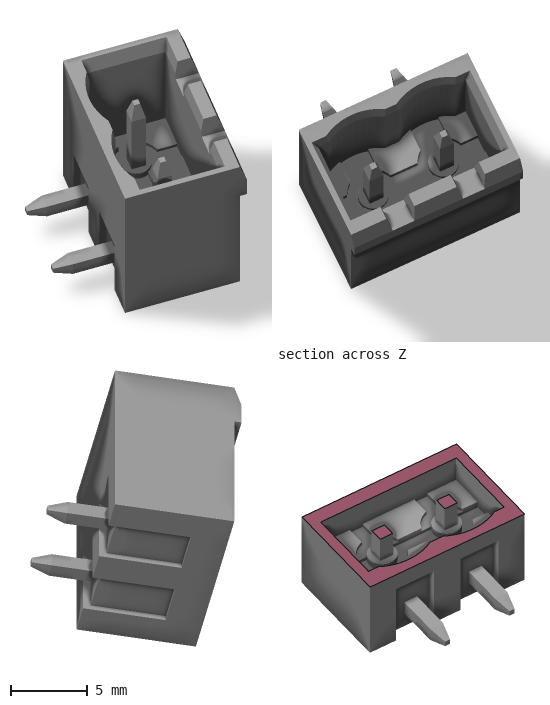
import cadquery as cq

width = 12.17
height = 11.93
body_depth = 7.92
contact_pitch = 5.07
contact_xs = (-contact_pitch / 2, contact_pitch / 2)

lip_reach = 0.49
lip_slope_height = 1.5
lip_height = 3.02

cavity_width = 10.63
cavity_front = 1.32
cavity_back = 6.81
cavity_floor = 4.0
mouth_width = 11.41
mouth_front = 1.15
mouth_back = 7.02
flare_depth = 1.0
flare_start = height - flare_depth

scallop_center_y = 4.77
scallop_radius = 4.0
scallop_mouth_radius = 4.2

notch_top_width = 2.02
notch_floor_width = 1.54
notch_depth = lip_slope_height

rear_recess_depth = 0.25
front_recess_depth = 2 * rear_recess_depth
ring_radius = 1.7
rear_slot_width = 1.0
front_slot_width = 2.01
band_front = 3.15
band_back = 4.33
boss_diameter = 2.01

window_width = 2.97
window_height = 4.66
window_depth = 0.5
window_ceiling_drop = 0.29
channel_height = 0.37
channel_end = 5.49

pin_size = 1.0
pin_tip_size = 0.4
pin_taper = 1.27
pin_y = 3.82
pin_z = 2.02
pin_top = 10.22
pin_reach = 3.78


def box(x_size, y_range, z_range, x_center=0):
    """Axis-aligned block centred on x_center."""
    y_size = y_range[1] - y_range[0]
    z_size = z_range[1] - z_range[0]
    block = cq.Workplane("XY").box(x_size, y_size, z_size, centered=(True, False, False))
    return block.translate((x_center, y_range[0], z_range[0]))


def upright_cylinder(x, y, radius, z_range):
    disc = cq.Workplane("XY", origin=(x, y, z_range[0])).circle(radius)
    return disc.extrude(z_range[1] - z_range[0])


def side_profile_block(points, x_size, x_center=0):
    """Prism along X with the given (y, z) outline."""
    prism = cq.Workplane("YZ").polyline(points).close().extrude(x_size / 2, both=True)
    return prism.translate((x_center, 0, 0))


def housing():
    lip_back = body_depth + lip_reach
    outline = [
        (0, 0),
        (body_depth, 0),
        (body_depth, height - lip_height),
        (lip_back, height - lip_height),
        (lip_back, height - lip_slope_height),
        (body_depth, height),
        (0, height),
    ]
    return side_profile_block(outline, width)


def straight_cavity(bottom, top):
    """Cavity below the flare, with its scallops, between two heights."""
    cavity = box(cavity_width, (cavity_front, cavity_back), (bottom, top))
    front_zone = box(cavity_width, (0, cavity_back), (bottom, top))
    for x in contact_xs:
        scallop = upright_cylinder(x, scallop_center_y, scallop_radius, (bottom, top))
        cavity = cavity.union(scallop.intersect(front_zone))
    return cavity


def flared_mouth():
    lower_y = (cavity_front + cavity_back) / 2
    mouth_y = (mouth_front + mouth_back) / 2
    mouth = (
        cq.Workplane("XY", origin=(0, lower_y, flare_start))
        .rect(cavity_width, cavity_back - cavity_front)
        .workplane(offset=flare_depth)
        .center(0, mouth_y - lower_y)
        .rect(mouth_width, mouth_back - mouth_front)
        .loft(ruled=True)
    )
    front_zone = box(cavity_width, (0, cavity_front), (flare_start, height))
    for x in contact_xs:
        scallop = (
            cq.Workplane("XY", origin=(x, scallop_center_y, flare_start))
            .circle(scallop_radius)
            .workplane(offset=flare_depth)
            .circle(scallop_mouth_radius)
            .loft(ruled=True)
        )
        mouth = mouth.union(scallop.intersect(front_zone))
    return mouth


def keying_notch(x):
    """Notch with sloping sides, open to the cavity and through the lip."""
    half_top = notch_top_width / 2
    half_floor = notch_floor_width / 2
    notch_floor = height - notch_depth
    outline = [
        (x - half_top, height),
        (x - half_floor, notch_floor),
        (x + half_floor, notch_floor),
        (x + half_top, height),
    ]
    notch_length = body_depth + lip_reach - pin_y
    section = cq.Workplane("XZ", origin=(0, pin_y, 0)).polyline(outline).close()
    return section.extrude(-notch_length)


def rear_floor_recess(x):
    """Half ring behind a contact with a slot to the rear wall."""
    levels = (cavity_floor - rear_recess_depth, cavity_floor)
    rear_zone = box(cavity_width, (band_back, cavity_back), levels)
    ring = upright_cylinder(x, pin_y, ring_radius, levels)
    slot = box(rear_slot_width, (pin_y, cavity_back), levels, x)
    return ring.union(slot).intersect(rear_zone)


def front_floor_recess():
    """Cross band, half rings and slots running to the front wall."""
    levels = (cavity_floor - front_recess_depth, cavity_floor)
    front_zone = box(cavity_width, (0, band_back), levels)
    recess = box(cavity_width, (band_front, band_back), levels)
    for x in contact_xs:
        ring = upright_cylinder(x, pin_y, ring_radius, levels)
        slot = box(front_slot_width, (0, pin_y), levels, x)
        recess = recess.union(ring.union(slot).intersect(front_zone))
    return recess.intersect(straight_cavity(*levels))


def contact_boss(x):
    """Round collar around a contact, level with the cavity floor."""
    levels = (cavity_floor - front_recess_depth, cavity_floor)
    return upright_cylinder(x, pin_y, boss_diameter / 2, levels)


def front_window(x):
    """Shallow window whose ceiling slopes down towards its back."""
    outline = [
        (0, 0),
        (window_depth, 0),
        (window_depth, window_height - window_ceiling_drop),
        (0, window_height),
    ]
    return side_profile_block(outline, window_width, x)


def base_channel(x):
    return box(window_width, (0, channel_end), (0, channel_height), x)


def pin_leg(length):
    """Square leg rising along Z from the origin, tapered at its free end."""
    shank_length = length - pin_taper
    shank = cq.Workplane("XY").rect(pin_size, pin_size).extrude(shank_length)
    taper = (
        cq.Workplane("XY", origin=(0, 0, shank_length))
        .rect(pin_size, pin_size)
        .workplane(offset=pin_taper)
        .rect(pin_tip_size, pin_tip_size)
        .loft(ruled=True)
    )
    return shank.union(taper)


def contact_pin(x):
    upright = pin_leg(pin_top - pin_z)
    forward = pin_leg(pin_y + pin_reach).rotate((0, 0, 0), (1, 0, 0), 90)
    elbow = cq.Workplane("XY").box(pin_size, pin_size, pin_size)
    return upright.union(forward).union(elbow).translate((x, pin_y, pin_z))


result = housing()
result = result.cut(straight_cavity(cavity_floor, flare_start)).cut(flared_mouth())
result = result.cut(front_floor_recess())
for contact_x in contact_xs:
    result = result.cut(rear_floor_recess(contact_x))
    result = result.cut(keying_notch(contact_x))
    result = result.cut(front_window(contact_x)).cut(base_channel(contact_x))
    result = result.union(contact_boss(contact_x)).union(contact_pin(contact_x))